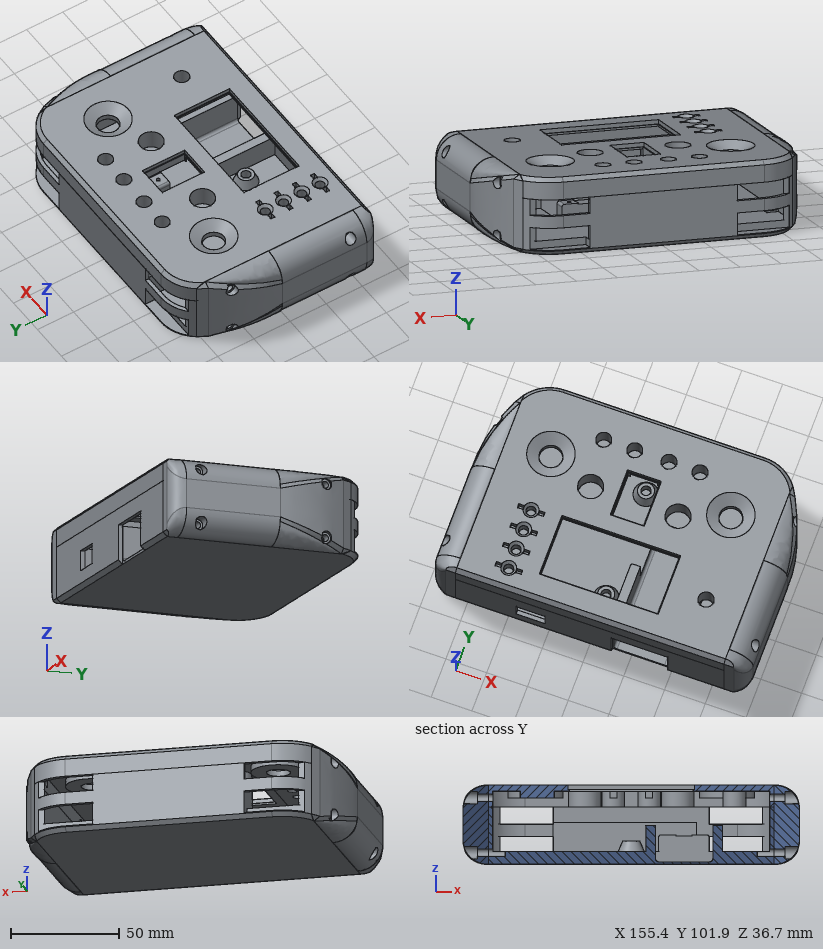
import cadquery as cq
import math

LENGTH = 155.4
DEPTH = 101.9
HEIGHT = 36.7
SEAM_X = 65.9
SPLIT_Z = 26.4
EDGE_CHAMFER = 2.0
WALL = 2.0
FLOOR = 6.0
LID_PLATE = 3.0
BACK_CORNER_RADIUS = 20.7
BACK_ARC_X = 49.1

CHEEK_WIDTH = LENGTH / 2 - SEAM_X
CHEEK_ROUND = 11.5
CHEEK_FRONT_RADIUS = 7.0
FRONT_STEPS = 5
CHEEK_STRAIGHT_Y = 53.6
TIP_Y = 88.5
TIP_THICKNESS = 0.08
CHORD_START = 0.5
BAND_HEIGHT = 2.0

SCREW_YS = (14.9, 78.5)
SCREW_ZS = (5.5, 30.8)
SCREW_DIAMETER = 3.3
SCREW_HEAD_DIAMETER = 5.5
SCREW_HEAD_SEAT_X = 71.0
SCREW_CORE_DEPTH = 7.8

WINDOW_LIP = 0.5
WINDOW_REBATE = 2.0
MAIN_WINDOW = (58.1, 30.5)
MAIN_WINDOW_CENTER = (0, 27.5)
SMALL_WINDOW = (16.5, 23.3)
SMALL_WINDOW_CENTER = (0, 62.5)
DISH_X = 44.1
DISH_Y = 69.5
DISH_DIAMETER = 22.4
DISH_HOLE_DIAMETER = 11.0
DISH_DEPTH = 3.4
KNOB_HOLE_DIAMETER = 12.0
KNOB_HOLE_X = 21.5
KNOB_HOLE_Y = 60.6
BUTTON_DIAMETER = 7.3
BUTTON_XS = (-23.6, -8.4, 8.4, 23.6)
BUTTON_Y = 84.4
SENSOR_DIAMETER = 7.5
SENSOR_CENTER = (47.5, 26.4)
LED_X = -43.3
LED_FIRST_Y = 10.1
LED_PITCH = 10.1
LED_COUNT = 4
LED_DIAMETER = 7.3
LED_HOLE_DIAMETER = 4.7
LED_CONE_DEPTH = 1.4
LED_SLOT_DEPTH = 3.0
LED_SLOT = (12.7, 2.0)
BOSS_BOTTOM_Z = 30.6
PAD_MARGIN = 1.5

FRONT_SLOT_X = (-36.0, -21.9)
FRONT_SLOT_Z = (8.1, 17.5)
BAY_X = (10.5, 38.2)
BAY_TOP = 18.6
BAY_LIP = 0.6
BAY_FLOOR = 1.2
BAY_REBATE = 2.0
BAY_FILLET = 1.5
BAY_BACK_Y = 56.0
RAIL_WIDTH = 4.5
RAIL_BACK_Y = 37.9
RAIL_TOP = BAY_TOP - BAY_LIP
RAIL_FILLET = 1.0
BACK_SLOT_X = (36.0, 63.4)
BACK_SLOT_DEPTH = 5.9
UPPER_SLOT_Z = (18.6, SPLIT_Z)
LOWER_SLOT_Z = (2.5, 12.9)
LEDGE_X = (-36.0, 30.0)
LEDGE_TOP = 19.4
LEDGE_FRONT_Y = 86.5
POST_YS = (22.4, 76.5)
POST_BASE_DIAMETER = 12.0
POST_TOP_DIAMETER = 8.0
POST_HOLE_DIAMETER = 4.7
POST_HEIGHT = 4.7
TERMINAL_X = (12.6, 36.0)
TERMINAL_DEPTH = 7.0
TERMINAL_TOP = 13.7
TERMINAL_ROUND = 1.2
TERMINAL_GROOVE = (7.3, 0.5)
CONTACT_DIAMETER = 1.7
CONTACT_SPACING = 14.0
CONTACT_DEPTH = 1.5


def block(x_range, y_range, z_range):
    """Box between the given limits."""
    size = [end - start for start, end in (x_range, y_range, z_range)]
    return cq.Workplane("XY").box(*size, centered=False).translate((x_range[0], y_range[0], z_range[0]))


def rod(diameter, center, z_range):
    """Vertical cylinder."""
    return (
        cq.Workplane("XY", origin=(*center, z_range[0]))
        .circle(diameter / 2)
        .extrude(z_range[1] - z_range[0])
    )


def cone(center, lower_diameter, lower_z, upper_diameter, upper_z):
    """Vertical truncated cone."""
    return (
        cq.Workplane("XY", origin=(*center, lower_z))
        .circle(lower_diameter / 2)
        .workplane(offset=upper_z - lower_z)
        .circle(upper_diameter / 2)
        .loft()
    )


def core_outline(z):
    """Plan of the central shells: square front corners, arcs into the back edge."""
    arc_center_y = DEPTH - BACK_CORNER_RADIUS
    end_angle = math.acos((SEAM_X - BACK_ARC_X) / BACK_CORNER_RADIUS)
    side_y = arc_center_y + BACK_CORNER_RADIUS * math.sin(end_angle)
    mid_angle = (end_angle + math.pi / 2) / 2
    mid_x = BACK_ARC_X + BACK_CORNER_RADIUS * math.cos(mid_angle)
    mid_y = arc_center_y + BACK_CORNER_RADIUS * math.sin(mid_angle)
    return (
        cq.Workplane("XY", origin=(0, 0, z))
        .moveTo(-SEAM_X, 0)
        .lineTo(SEAM_X, 0)
        .lineTo(SEAM_X, side_y)
        .threePointArc((mid_x, mid_y), (BACK_ARC_X, DEPTH))
        .lineTo(-BACK_ARC_X, DEPTH)
        .threePointArc((-mid_x, mid_y), (-SEAM_X, side_y))
        .close()
    )


def cavity(z_range):
    """Inside space of the shells between two heights."""
    return core_outline(z_range[0]).offset2D(-WALL).extrude(z_range[1] - z_range[0])


def screw_shafts():
    """Blind screw holes running into both sides of the shells."""
    shafts = cq.Workplane("XY")
    for y in SCREW_YS:
        for z in SCREW_ZS:
            for start_x in (-SEAM_X, SEAM_X - SCREW_CORE_DEPTH):
                shafts = shafts.add(
                    cq.Workplane("YZ", origin=(start_x, y, z))
                    .circle(SCREW_DIAMETER / 2)
                    .extrude(SCREW_CORE_DEPTH)
                )
    return shafts.combine()


def window(size, center):
    """Through window whose upper part is wider by a narrow lip."""
    rebate = (
        cq.Workplane("XY", origin=(*center, HEIGHT - WINDOW_REBATE)).rect(*size).extrude(WINDOW_REBATE)
    )
    opening = (
        cq.Workplane("XY", origin=(*center, SPLIT_Z))
        .rect(size[0] - 2 * WINDOW_LIP, size[1] - 2 * WINDOW_LIP)
        .extrude(HEIGHT - SPLIT_Z)
    )
    return rebate.union(opening)


def countersunk_hole(center, hole_diameter, top_diameter, cone_depth):
    """Through hole in the lid with a conical mouth."""
    mouth = cone(center, hole_diameter, HEIGHT - cone_depth, top_diameter, HEIGHT)
    return rod(hole_diameter, center, (SPLIT_Z, HEIGHT)).union(mouth)


def led_slots(y):
    """Shallow notches on both sides of an LED hole."""
    notch_length = (LED_SLOT[0] - LED_DIAMETER) / 2
    offset = (LED_DIAMETER + notch_length) / 2
    return (
        cq.Workplane("XY", origin=(LED_X, y, HEIGHT - LED_SLOT_DEPTH))
        .pushPoints([(-offset, 0), (offset, 0)])
        .rect(notch_length, LED_SLOT[1])
        .extrude(LED_SLOT_DEPTH)
    )


def lid_pads():
    """Solid backing under the lid plate beside the small window and around dishes, LEDs and holes."""
    pad_z = (BOSS_BOTTOM_Z, HEIGHT - LID_PLATE)
    tube_z = (SPLIT_Z, HEIGHT - LID_PLATE)
    pads = rod(SENSOR_DIAMETER + 2 * PAD_MARGIN, SENSOR_CENTER, tube_z)
    for side in (-1, 1):
        pads = pads.union(rod(DISH_DIAMETER + 2 * PAD_MARGIN, (side * DISH_X, DISH_Y), pad_z))
        pads = pads.union(rod(KNOB_HOLE_DIAMETER + 2 * PAD_MARGIN, (side * KNOB_HOLE_X, KNOB_HOLE_Y), tube_z))
    for side in (-1, 1):
        rib_center = (SMALL_WINDOW_CENTER[0] + side * SMALL_WINDOW[0] / 2, SMALL_WINDOW_CENTER[1])
        rib = (
            cq.Workplane("XY", origin=(*rib_center, pad_z[0]))
            .rect(2 * PAD_MARGIN, SMALL_WINDOW[1])
            .extrude(pad_z[1] - pad_z[0])
        )
        pads = pads.union(rib)
    for x in BUTTON_XS:
        pads = pads.union(rod(BUTTON_DIAMETER + 2 * PAD_MARGIN, (x, BUTTON_Y), tube_z))
    pad_half_width = LED_SLOT[0] / 2 + PAD_MARGIN
    pad_reach = LED_DIAMETER / 2 + PAD_MARGIN
    last_y = LED_FIRST_Y + (LED_COUNT - 1) * LED_PITCH
    led_pad = block(
        (LED_X - pad_half_width, LED_X + pad_half_width),
        (LED_FIRST_Y - pad_reach, last_y + pad_reach),
        pad_z,
    )
    return pads.union(led_pad)


def make_lid():
    lid = core_outline(SPLIT_Z).extrude(HEIGHT - SPLIT_Z)
    lid = lid.faces(">Z").edges("not |Y").chamfer(EDGE_CHAMFER)
    lid = lid.cut(cavity((SPLIT_Z, HEIGHT - LID_PLATE))).union(lid_pads()).cut(screw_shafts())
    lid = lid.cut(window(MAIN_WINDOW, MAIN_WINDOW_CENTER))
    lid = lid.cut(window(SMALL_WINDOW, SMALL_WINDOW_CENTER))
    through = (SPLIT_Z, HEIGHT)
    for side in (-1, 1):
        dish_center = (side * DISH_X, DISH_Y)
        lid = lid.cut(countersunk_hole(dish_center, DISH_HOLE_DIAMETER, DISH_DIAMETER, DISH_DEPTH))
        lid = lid.cut(rod(KNOB_HOLE_DIAMETER, (side * KNOB_HOLE_X, KNOB_HOLE_Y), through))
    for x in BUTTON_XS:
        lid = lid.cut(rod(BUTTON_DIAMETER, (x, BUTTON_Y), through))
    lid = lid.cut(rod(SENSOR_DIAMETER, SENSOR_CENTER, through))
    for index in range(LED_COUNT):
        y = LED_FIRST_Y + index * LED_PITCH
        lid = lid.cut(countersunk_hole((LED_X, y), LED_HOLE_DIAMETER, LED_DIAMETER, LED_CONE_DEPTH))
        lid = lid.cut(led_slots(y))
    return lid


def bay_rails():
    """Guide rails on both sides of the battery bay."""
    bay_left = BAY_X[0] + BAY_LIP
    bay_right = BAY_X[1] - BAY_LIP
    heights = (FLOOR, RAIL_TOP)
    left = block((bay_left - RAIL_WIDTH, bay_left), (WALL, RAIL_BACK_Y), heights)
    right = block((bay_right, bay_right + RAIL_WIDTH), (WALL, RAIL_BACK_Y), heights)
    left = left.edges("|Z and <X and >Y").fillet(RAIL_FILLET)
    right = right.edges("|Z and >X and >Y").fillet(RAIL_FILLET)
    return left.union(right)


def bay_space():
    """Battery bay sunk into the floor and open to the front, with a rebate for its door."""
    door = block(BAY_X, (0, BAY_REBATE), (0, BAY_TOP))
    channel = block(
        (BAY_X[0] + BAY_LIP, BAY_X[1] - BAY_LIP),
        (0, BAY_BACK_Y),
        (BAY_FLOOR, BAY_TOP - BAY_LIP),
    )
    return door.union(channel.edges("|Y and <Z").fillet(BAY_FILLET))


def terminal():
    """Contact block closing the back of the battery bay."""
    body = block(TERMINAL_X, (BAY_BACK_Y, BAY_BACK_Y + TERMINAL_DEPTH), (BAY_FLOOR, TERMINAL_TOP))
    body = body.edges("|Y and >Z").fillet(TERMINAL_ROUND)
    center = (sum(TERMINAL_X) / 2, BAY_BACK_Y + TERMINAL_DEPTH / 2)
    groove_width, groove_depth = TERMINAL_GROOVE
    groove = block(
        (center[0] - groove_width / 2, center[0] + groove_width / 2),
        (BAY_BACK_Y, BAY_BACK_Y + TERMINAL_DEPTH),
        (TERMINAL_TOP - groove_depth, TERMINAL_TOP),
    )
    body = body.cut(groove)
    for side in (-1, 1):
        contact = (center[0] + side * CONTACT_SPACING / 2, center[1])
        body = body.cut(rod(CONTACT_DIAMETER, contact, (TERMINAL_TOP - CONTACT_DEPTH, TERMINAL_TOP)))
    return body


def post(y):
    """Conical screw post standing on the floor."""
    return cone((0, y), POST_BASE_DIAMETER, FLOOR, POST_TOP_DIAMETER, FLOOR + POST_HEIGHT)


def back_slots():
    """Two slots, one above the other, at each back corner."""
    slots = cq.Workplane("XY")
    for z_range in (UPPER_SLOT_Z, LOWER_SLOT_Z):
        slot = block(BACK_SLOT_X, (DEPTH - BACK_SLOT_DEPTH, DEPTH), z_range)
        slots = slots.add(slot).add(slot.mirror("YZ"))
    return slots.combine()


def make_base():
    base = core_outline(0).extrude(SPLIT_Z)
    base = base.faces("<Z").edges("not |Y").chamfer(EDGE_CHAMFER)
    base = base.cut(cavity((FLOOR, SPLIT_Z))).cut(screw_shafts())
    base = base.cut(back_slots())
    base = base.cut(block(FRONT_SLOT_X, (0, WALL), FRONT_SLOT_Z))
    base = base.union(bay_rails()).cut(bay_space())
    base = base.union(block(LEDGE_X, (LEDGE_FRONT_Y, DEPTH - WALL), (FLOOR, LEDGE_TOP)))
    base = base.union(terminal())
    for y in POST_YS:
        hole = rod(POST_HOLE_DIAMETER, (0, y), (FLOOR, FLOOR + POST_HEIGHT))
        base = base.union(post(y)).cut(hole)
    return base


def cheek_back_y():
    """Back end of the cheek: the point where the core arc reaches the seam."""
    arc_rise = math.sqrt(BACK_CORNER_RADIUS**2 - (SEAM_X - BACK_ARC_X) ** 2)
    return DEPTH - BACK_CORNER_RADIUS + arc_rise


def cheek_width_at(y):
    """Width beside the seam along the large arc that narrows the cheek."""
    run = cheek_back_y() - CHEEK_STRAIGHT_Y
    radius = (CHEEK_WIDTH**2 + run**2) / (2 * CHEEK_WIDTH)
    return CHEEK_WIDTH - radius + math.sqrt(radius**2 - (y - CHEEK_STRAIGHT_Y) ** 2)


def rounded_section(y, width, round_width, round_drop, band_drop=0):
    """Section with elliptic top and bottom corners, each followed by a straight band of the given drop."""
    eighth_turn = math.pi / 4
    mid_x = SEAM_X + round_width * math.sin(eighth_turn)
    mid_drop = round_drop * (1 - math.cos(eighth_turn))
    round_x = SEAM_X + round_width
    wall_x = SEAM_X + width
    wall_drop = round_drop + band_drop
    section = (
        cq.Workplane("XZ", origin=(0, y, 0))
        .moveTo(SEAM_X, HEIGHT)
        .spline(
            [(mid_x, HEIGHT - mid_drop), (round_x, HEIGHT - round_drop)],
            tangents=[(1, 0), (0, -1)],
            includeCurrent=True,
        )
    )
    if band_drop > 0:
        section = section.lineTo(wall_x, HEIGHT - wall_drop)
    section = section.lineTo(wall_x, wall_drop)
    if band_drop > 0:
        section = section.lineTo(round_x, round_drop)
    section = section.spline(
        [(mid_x, mid_drop), (SEAM_X, 0)],
        tangents=[(0, -1), (-1, 0)],
        includeCurrent=True,
    )
    return section.close().val()


def tapered_section(y):
    """Section whose rounded corners shrink from full size at the straight part to nothing at the tip."""
    fraction = (TIP_Y - y) / (TIP_Y - CHEEK_STRAIGHT_Y)
    width = cheek_width_at(y)
    tip_width = cheek_width_at(TIP_Y) - TIP_THICKNESS
    band_width = tip_width + (CHORD_START - tip_width) * fraction
    round_drop = TIP_THICKNESS + (CHEEK_ROUND - BAND_HEIGHT - TIP_THICKNESS) * fraction
    return rounded_section(y, width, width - band_width, round_drop, BAND_HEIGHT)


def tip_section(y, width, seam_drop, wall_drop):
    """Four-sided section between the seam and the wall."""
    return (
        cq.Workplane("XZ", origin=(0, y, 0))
        .moveTo(SEAM_X, HEIGHT - seam_drop)
        .lineTo(SEAM_X + width, HEIGHT - wall_drop)
        .lineTo(SEAM_X + width, wall_drop)
        .lineTo(SEAM_X, seam_drop)
        .close()
        .val()
    )


def straight_part():
    """Straight part of the cheek, rounded above and below up to the start of the front corner."""
    return (
        cq.Workplane("XY")
        .box(CHEEK_WIDTH, CHEEK_STRAIGHT_Y - CHEEK_FRONT_RADIUS, HEIGHT, centered=False)
        .translate((SEAM_X, CHEEK_FRONT_RADIUS, 0))
        .edges("|Y and >X")
        .fillet(CHEEK_ROUND)
    )


def front_section(angle):
    """Rounded section of the front corner, narrowed as the corner turns from 0 to 90 degrees."""
    inset = CHEEK_FRONT_RADIUS * (1 - math.cos(angle))
    y = CHEEK_FRONT_RADIUS * (1 - math.sin(angle))
    width = CHEEK_WIDTH - inset
    return rounded_section(y, width, width, CHEEK_ROUND - inset)


def front_corner():
    """Rounded front corner of the cheek, chamfered like the shells along the front."""
    sections = [front_section(index * math.pi / 2 / FRONT_STEPS) for index in range(FRONT_STEPS + 1)]
    envelope = (
        cq.Workplane("XY")
        .box(CHEEK_WIDTH, CHEEK_FRONT_RADIUS, HEIGHT, centered=False)
        .translate((SEAM_X, 0, 0))
        .faces("<Y")
        .edges("|X")
        .chamfer(EDGE_CHAMFER)
    )
    return cq.Workplane(cq.Solid.makeLoft(sections)).intersect(envelope)


def tapered_part():
    """Rear part lofted from the straight part to the pointed back end."""
    section_count = 6
    step = (TIP_Y - CHEEK_STRAIGHT_Y) / (section_count - 1)
    sections = [tapered_section(CHEEK_STRAIGHT_Y + index * step) for index in range(section_count)]
    taper = cq.Solid.makeLoft(sections)
    tip = cq.Solid.makeLoft(
        [
            tip_section(TIP_Y, cheek_width_at(TIP_Y), 0, BAND_HEIGHT + TIP_THICKNESS),
            tip_section(cheek_back_y(), TIP_THICKNESS, EDGE_CHAMFER, EDGE_CHAMFER + TIP_THICKNESS),
        ],
        True,
    )
    return cq.Workplane(taper).union(cq.Workplane(tip))


def make_cheek(side):
    """Cheek with counterbored screw holes; side is -1 for left and 1 for right."""
    cheek = straight_part().union(front_corner()).union(tapered_part())
    for y in SCREW_YS:
        for z in SCREW_ZS:
            shaft = cq.Workplane("YZ", origin=(SEAM_X, y, z)).circle(SCREW_DIAMETER / 2).extrude(CHEEK_WIDTH)
            head = (
                cq.Workplane("YZ", origin=(SCREW_HEAD_SEAT_X, y, z))
                .circle(SCREW_HEAD_DIAMETER / 2)
                .extrude(LENGTH / 2 - SCREW_HEAD_SEAT_X)
            )
            cheek = cheek.cut(shaft).cut(head)
    return cheek if side > 0 else cheek.mirror("YZ")


lid = make_lid()
base = make_base()
cheeks = [make_cheek(side) for side in (-1, 1)]

bodies = [lid, base, *cheeks]
result = cq.Compound.makeCompound([body.solids().val() for body in bodies])